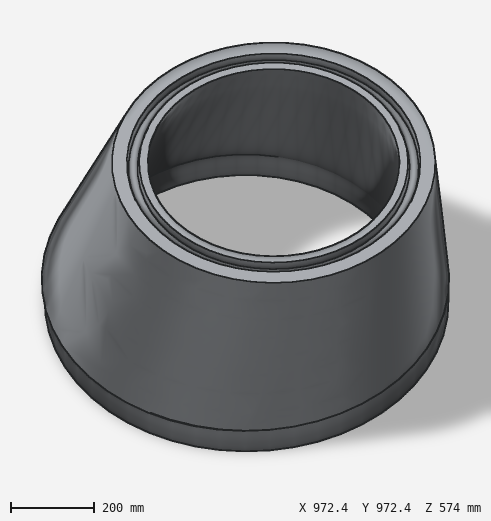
import cadquery as cq

total_height = 574.0
skirt_height = 74.0

overall_length = 972.39
cone_base_radius = overall_length / 2
cone_top_radius = 385.5
straight_side_x = cone_base_radius
cone_top_x = straight_side_x - cone_top_radius

skirt_top_radius = 481.5
skirt_base_radius = 482.0

wall_thickness = 85.5
bore_top_radius = cone_top_radius - wall_thickness
bore_base_radius = cone_base_radius - wall_thickness

groove_depth = 19.0
groove_outer_radius = 350.0
groove_inner_radius = 320.5
groove_wall_inset = 4.0


def oblique_cone(bottom_z, bottom_radius, bottom_x, top_z, top_radius, top_x):
    """Solid cone between two horizontal circles centred at different X."""
    return (
        cq.Workplane("XY", origin=(bottom_x, 0, bottom_z))
        .circle(bottom_radius)
        .workplane(offset=top_z - bottom_z)
        .center(top_x - bottom_x, 0)
        .circle(top_radius)
        .loft(combine=True)
    )


def make_outer_body():
    cone = oblique_cone(skirt_height, cone_base_radius, 0, total_height, cone_top_radius, cone_top_x)
    skirt_base_x = straight_side_x - skirt_base_radius
    skirt_top_x = straight_side_x - skirt_top_radius
    skirt = oblique_cone(0, skirt_base_radius, skirt_base_x, skirt_height, skirt_top_radius, skirt_top_x)
    return cone.union(skirt)


def make_bore():
    cone = oblique_cone(skirt_height, bore_base_radius, 0, total_height, bore_top_radius, cone_top_x)
    cylinder = cq.Workplane("XY").circle(bore_base_radius).extrude(skirt_height)
    return cone.union(cylinder)


def make_top_groove():
    floor_z = total_height - groove_depth
    return (
        cq.Workplane("XZ")
        .moveTo(groove_inner_radius, total_height)
        .lineTo(groove_outer_radius, total_height)
        .lineTo(groove_outer_radius - groove_wall_inset, floor_z)
        .lineTo(groove_inner_radius + groove_wall_inset, floor_z)
        .close()
        .revolve(360, (0, 0, 0), (0, 1, 0))
        .translate((cone_top_x, 0, 0))
    )


result = make_outer_body().cut(make_bore()).cut(make_top_groove())